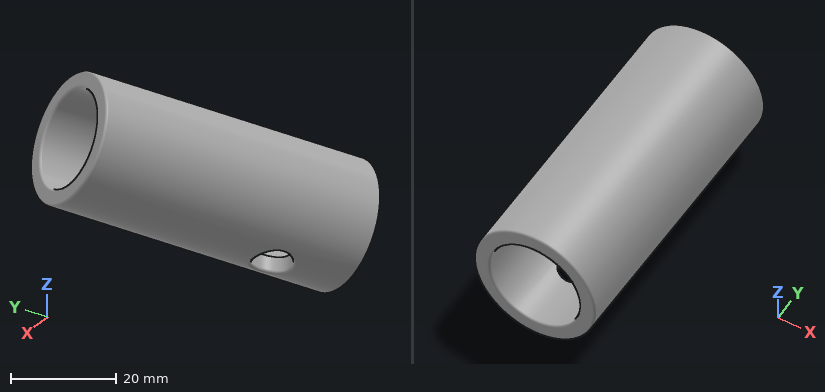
import cadquery as cq

length = 62.0
outer_diameter = 27.0
bore_diameter = 20.0
end_rounding = 0.5

hole_diameter = 8.0
hole_from_front_end = 16.0
hole_mouth_rounding = 0.5
hole_y = -length / 2 + hole_from_front_end

sleeve = (
    cq.Workplane("XZ", origin=(0, length / 2, 0))
    .circle(outer_diameter / 2)
    .circle(bore_diameter / 2)
    .extrude(length)
    .faces("<Y or >Y")
    .edges()
    .fillet(end_rounding)
)

radial_hole = (
    cq.Workplane("XY")
    .center(0, hole_y)
    .circle(hole_diameter / 2)
    .extrude(-outer_diameter)
)

rim_selector = cq.selectors.BoxSelector(
    (-hole_diameter, hole_y - hole_diameter, -outer_diameter),
    (hole_diameter, hole_y + hole_diameter, -(outer_diameter + bore_diameter) / 4),
)

result = sleeve.cut(radial_hole).edges(rim_selector).fillet(hole_mouth_rounding)